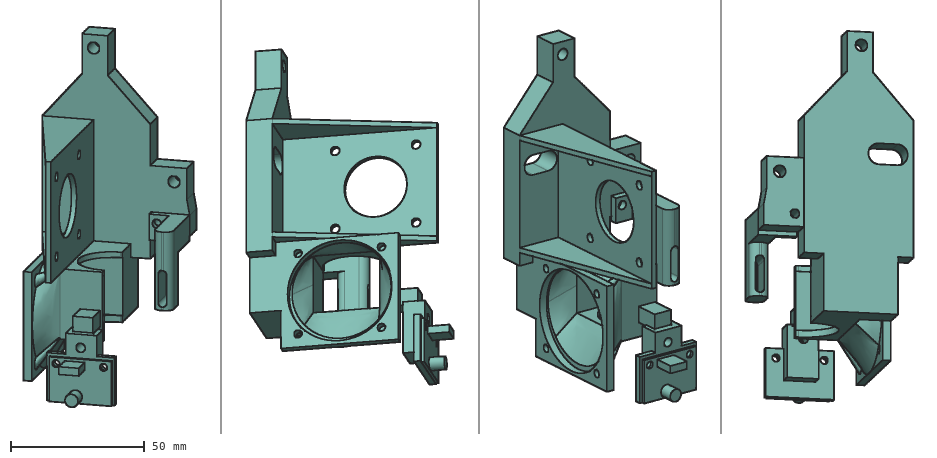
import cadquery as cq

PLATE_WIDTH = 42.0
PLATE_THICKNESS = 10.0
PLATE_BOTTOM = 42.3
TONGUE_TOP = 127.8
TONGUE_BOTTOM = 112.4
TONGUE_LEFT = 15.5
TONGUE_RIGHT = 25.5
SCREW_DIAMETER = 4.5
TONGUE_HOLE = (20.0, 122.6)
ADJUST_SLOT_CENTER = (9.8, 81.4)
ADJUST_SLOT_LENGTH = 15.0
ADJUST_SLOT_HEIGHT = 8.0

EAR_TOP = 78.6
EAR_BOTTOM = 52.2
EAR_RIGHT = 56.2
EAR_TAPER_TOP = 66.6
EAR_THICKNESS = 9.6
EAR_HOLE = (51.2, 73.0)

MOUNT_TOP = 94.7
MOUNT_BOTTOM = 47.6
MOUNT_RIGHT = 20.0
MOUNT_THICKNESS = 2.0
MOUNT_LEFT = MOUNT_RIGHT - MOUNT_THICKNESS
MOUNT_REACH = 59.0
MOTOR_AXIS_Y = -35.5
MOTOR_AXIS_Z = (MOUNT_TOP + MOUNT_BOTTOM) / 2
MOTOR_BORE = 24.0
MOTOR_SCREW_SPACING = 31.0
MOTOR_SCREW_DIAMETER = 3.4

FAN_PLATE_LEFT = 6.0
FAN_PLATE_THICKNESS = 3.2
FAN_PLATE_RIGHT = FAN_PLATE_LEFT + FAN_PLATE_THICKNESS
FAN_PLATE_FRONT = -47.0
FAN_PLATE_BACK = -2.0
FAN_PLATE_BOTTOM = 5.2
FAN_AXIS_Y = (FAN_PLATE_FRONT + FAN_PLATE_BACK) / 2
FAN_AXIS_Z = 26.5
FAN_BORE = 40.0
FAN_SCREW_SPACING = 32.0
FAN_SCREW_DIAMETER = 3.0
SCREW_BOSS_DIAMETER = 5.0
SCREW_BOSS_TIP_DIAMETER = 1.0
DUCT_WALL = 2.6
DUCT_ROOF = 2.2
NOZZLE_LEFT = MOUNT_LEFT
NOZZLE_RIGHT = 34.5
NOZZLE_FRONT = -39.7
NOZZLE_BACK = -9.0
NOZZLE_BOTTOM = 20.3
NOZZLE_TOP = MOUNT_BOTTOM
FUNNEL_OUTER_DIAMETER = 43.0
FUNNEL_INNER_DIAMETER = 38.0
FUNNEL_INNER_AXIS_Z = 27.6
HOTEND_RADIUS = 12.5
HOTEND_AXIS_X = 33.7

SUPPORT_LEFT = 26.0
SUPPORT_WIDTH = 7.7
SUPPORT_FRONT = -49.8
SUPPORT_TOP = 32.6
SUPPORT_BOTTOM = 26.2

HOOK_TOP = 60.6
HOOK_BOTTOM = 30.0
HOOK_LEFT = 42.4
HOOK_RIGHT = 57.27
TAB_THICKNESS = 3.1
TAB_BOTTOM = 50.5
PRONG_WIDTH = 7.2
PRONG_LEFT = HOOK_RIGHT - PRONG_WIDTH
PRONG_FRONT = -25.0
PRONG_DEPTH = 12.0
PRONG_CORNER_RADIUS = 3.2
PRONG_SLOT_WIDTH = 3.3
PRONG_SLOT_LENGTH = 14.2
PRONG_SLOT_CENTER_Z = 38.5
HOOK_SCREW_DIAMETER = 3.4
HOOK_HOLE = (45.4, 57.1)

STEM_LEFT = 24.1
STEM_WIDTH = 12.1
STEM_BACK = -44.6
STEM_TOP = 26.7
STEM_BOTTOM = 6.4
HOLDER_FRONT = -53.0
HOLDER_HOLE = (29.9, 21.5)
HOLDER_HOLE_DIAMETER = 3.5
RECESS_CLEARANCE = 0.4
BACKING_LEFT = 16.8
BACKING_RIGHT = 43.0
BACKING_TOP = 18.6
BACKING_THICKNESS = 2.5

BOARD_LEFT = 18.0
BOARD_RIGHT = 42.1
BOARD_TOP = 17.4
BOARD_THICKNESS = 1.2
BOARD_FRONT = HOLDER_FRONT - BOARD_THICKNESS
BOARD_HOLE_XS = (20.6, 39.1)
BOARD_HOLE_Z = 14.9
BOARD_HOLE_DIAMETER = 2.8
CONNECTOR_LEFT = 24.1
CONNECTOR_WIDTH = 7.7
CONNECTOR_BOTTOM = 13.3
CONNECTOR_HEIGHT = 3.0
CONNECTOR_FRONT = -62.4
LAMP_DIAMETER = 5.07
LAMP_CENTER = (28.3, 2.7)
LAMP_FRONT = -60.0


def block(x_range, y_range, z_range):
    """Box between two corners given as ranges along X, Y and Z."""
    sizes = [high - low for low, high in (x_range, y_range, z_range)]
    corner = (x_range[0], y_range[0], z_range[0])
    return cq.Workplane("XY").box(*sizes, centered=False).translate(corner)


def rod_y(center, diameter, front, back):
    """Cylinder along Y around an (X, Z) centre."""
    return cq.Workplane("XZ", origin=(0, back, 0)).center(*center).circle(diameter / 2).extrude(back - front)


def rod_x(center, diameter, left, right):
    """Cylinder along X around a (Y, Z) centre."""
    return cq.Workplane("YZ", origin=(left, 0, 0)).center(*center).circle(diameter / 2).extrude(right - left)


def square_pattern(center, spacing):
    """Corners of a square of the given side around a centre."""
    half = spacing / 2
    return [(center[0] + i * half, center[1] + j * half) for i in (-1, 1) for j in (-1, 1)]


def make_back_plate():
    plate = (
        cq.Workplane("XZ", origin=(0, PLATE_THICKNESS, 0))
        .polyline([
            (0, PLATE_BOTTOM),
            (PLATE_WIDTH, PLATE_BOTTOM),
            (PLATE_WIDTH, MOUNT_TOP),
            (TONGUE_RIGHT, TONGUE_BOTTOM),
            (TONGUE_RIGHT, TONGUE_TOP),
            (TONGUE_LEFT, TONGUE_TOP),
            (TONGUE_LEFT, TONGUE_BOTTOM),
            (0, MOUNT_TOP),
        ])
        .close()
        .extrude(PLATE_THICKNESS)
    )
    ear = (
        cq.Workplane("XZ", origin=(0, EAR_THICKNESS, 0))
        .polyline([
            (PLATE_WIDTH, EAR_BOTTOM),
            (HOOK_RIGHT, EAR_BOTTOM),
            (HOOK_RIGHT, HOOK_TOP),
            (EAR_RIGHT, EAR_TAPER_TOP),
            (EAR_RIGHT, EAR_TOP),
            (PLATE_WIDTH, EAR_TOP),
        ])
        .close()
        .extrude(EAR_THICKNESS)
    )
    slot = (
        cq.Workplane("XZ", origin=(0, PLATE_THICKNESS, 0))
        .center(*ADJUST_SLOT_CENTER)
        .slot2D(ADJUST_SLOT_LENGTH, ADJUST_SLOT_HEIGHT)
        .extrude(PLATE_THICKNESS)
    )
    plate = plate.union(ear).cut(slot)
    for center, diameter in (
        (TONGUE_HOLE, SCREW_DIAMETER),
        (EAR_HOLE, SCREW_DIAMETER),
        (HOOK_HOLE, HOOK_SCREW_DIAMETER),
    ):
        plate = plate.cut(rod_y(center, diameter, 0, PLATE_THICKNESS))
    return plate


def make_motor_mount():
    mount = block((MOUNT_LEFT, MOUNT_RIGHT), (-MOUNT_REACH, 0), (MOUNT_BOTTOM, MOUNT_TOP))
    for bottom in (MOUNT_BOTTOM, MOUNT_TOP - MOUNT_THICKNESS):
        gusset = (
            cq.Workplane("XY", origin=(0, 0, bottom))
            .polyline([(0, 0), (MOUNT_LEFT, -MOUNT_REACH), (MOUNT_LEFT, 0)])
            .close()
            .extrude(MOUNT_THICKNESS)
        )
        mount = mount.union(gusset)
    axis = (MOTOR_AXIS_Y, MOTOR_AXIS_Z)
    mount = mount.cut(rod_x(axis, MOTOR_BORE, MOUNT_LEFT, MOUNT_RIGHT))
    for center in square_pattern(axis, MOTOR_SCREW_SPACING):
        mount = mount.cut(rod_x(center, MOTOR_SCREW_DIAMETER, MOUNT_LEFT, MOUNT_RIGHT))
    return mount


def make_funnel(diameter, axis_z, front, back, bottom, top):
    """Loft along X from a circle at the fan plate to a rectangle at the nozzle."""
    middle_y = (front + back) / 2
    middle_z = (bottom + top) / 2
    return (
        cq.Workplane("YZ", origin=(FAN_PLATE_RIGHT, 0, 0))
        .center(FAN_AXIS_Y, axis_z)
        .circle(diameter / 2)
        .workplane(offset=NOZZLE_LEFT - FAN_PLATE_RIGHT)
        .center(middle_y - FAN_AXIS_Y, middle_z - axis_z)
        .rect(back - front, top - bottom)
        .loft(combine=True)
    )


def is_open_hole(center):
    """Only the lower fan screw hole next to the back plate has no boss behind it."""
    return center[0] > FAN_AXIS_Y and center[1] < FAN_AXIS_Z


def make_screw_boss(center):
    """Boss that closes a fan screw hole from behind, tapering into the nearest corner of the nozzle."""
    tip_radius = SCREW_BOSS_TIP_DIAMETER / 2
    tip_y = NOZZLE_BACK - tip_radius if center[0] > FAN_AXIS_Y else NOZZLE_FRONT + tip_radius
    tip_z = NOZZLE_TOP - tip_radius if center[1] > FAN_AXIS_Z else NOZZLE_BOTTOM + tip_radius
    return (
        cq.Workplane("YZ", origin=(FAN_PLATE_RIGHT, 0, 0))
        .center(*center)
        .circle(SCREW_BOSS_DIAMETER / 2)
        .workplane(offset=NOZZLE_LEFT - FAN_PLATE_RIGHT)
        .center(tip_y - center[0], tip_z - center[1])
        .circle(tip_radius)
        .loft(combine=True)
    )


def make_duct():
    fan_plate = block(
        (FAN_PLATE_LEFT, FAN_PLATE_RIGHT),
        (FAN_PLATE_FRONT, FAN_PLATE_BACK),
        (FAN_PLATE_BOTTOM, MOUNT_BOTTOM),
    )
    foot = block(
        (FAN_PLATE_LEFT, NOZZLE_RIGHT),
        (FAN_PLATE_BACK, PLATE_THICKNESS),
        (NOZZLE_BOTTOM, PLATE_BOTTOM),
    )
    fan_plate_root = block(
        (FAN_PLATE_LEFT, FAN_PLATE_RIGHT),
        (FAN_PLATE_BACK, 0),
        (PLATE_BOTTOM, MOUNT_BOTTOM),
    )
    nozzle = block((NOZZLE_LEFT, NOZZLE_RIGHT), (NOZZLE_FRONT, 0), (NOZZLE_BOTTOM, NOZZLE_TOP))
    funnel = make_funnel(
        FUNNEL_OUTER_DIAMETER, FAN_AXIS_Z, NOZZLE_FRONT, NOZZLE_BACK, NOZZLE_BOTTOM, NOZZLE_TOP
    )
    support = block(
        (SUPPORT_LEFT, SUPPORT_LEFT + SUPPORT_WIDTH),
        (SUPPORT_FRONT, NOZZLE_FRONT),
        (SUPPORT_BOTTOM, SUPPORT_TOP),
    )
    duct = fan_plate.union(fan_plate_root).union(foot).union(nozzle).union(funnel).union(support)
    axis = (FAN_AXIS_Y, FAN_AXIS_Z)
    screw_centers = square_pattern(axis, FAN_SCREW_SPACING)
    for center in screw_centers:
        if not is_open_hole(center):
            duct = duct.union(make_screw_boss(center))

    inner_y = (NOZZLE_FRONT + DUCT_WALL, NOZZLE_BACK - DUCT_WALL)
    inner_z = (NOZZLE_BOTTOM + DUCT_WALL, NOZZLE_TOP - DUCT_ROOF)
    passage = block((NOZZLE_LEFT, NOZZLE_RIGHT), inner_y, inner_z)
    inner_funnel = make_funnel(FUNNEL_INNER_DIAMETER, FUNNEL_INNER_AXIS_Z, *inner_y, *inner_z)
    duct = duct.cut(passage).cut(inner_funnel)
    duct = duct.cut(rod_x(axis, FAN_BORE, FAN_PLATE_LEFT, FAN_PLATE_RIGHT))
    for center in screw_centers:
        duct = duct.cut(rod_x(center, FAN_SCREW_DIAMETER, FAN_PLATE_LEFT, FAN_PLATE_RIGHT))

    hotend_y = (FAN_AXIS_Y - HOTEND_RADIUS, FAN_AXIS_Y + HOTEND_RADIUS)
    hotend = (
        cq.Workplane("XY", origin=(0, 0, NOZZLE_BOTTOM))
        .center(HOTEND_AXIS_X, FAN_AXIS_Y)
        .circle(HOTEND_RADIUS)
        .extrude(NOZZLE_TOP - NOZZLE_BOTTOM)
    )
    mouth = block((HOTEND_AXIS_X, NOZZLE_RIGHT), hotend_y, (NOZZLE_BOTTOM, NOZZLE_TOP))
    return duct.cut(hotend).cut(mouth)


def make_bracket():
    return make_back_plate().union(make_motor_mount()).union(make_duct())


def make_hook():
    tab = block((HOOK_LEFT, HOOK_RIGHT), (-TAB_THICKNESS, 0), (TAB_BOTTOM, HOOK_TOP))
    prong_middle_y = PRONG_FRONT + PRONG_DEPTH / 2
    prong = (
        block((PRONG_LEFT, HOOK_RIGHT), (PRONG_FRONT, PRONG_FRONT + PRONG_DEPTH), (HOOK_BOTTOM, HOOK_TOP))
        .edges("|Z")
        .fillet(PRONG_CORNER_RADIUS)
    )
    arm = block((PRONG_LEFT, HOOK_RIGHT), (prong_middle_y, 0), (TAB_BOTTOM, HOOK_TOP))
    slot = (
        cq.Workplane("XZ", origin=(0, PRONG_FRONT + PRONG_DEPTH, 0))
        .center(PRONG_LEFT + PRONG_WIDTH / 2, PRONG_SLOT_CENTER_Z)
        .slot2D(PRONG_SLOT_LENGTH, PRONG_SLOT_WIDTH, 90)
        .extrude(PRONG_DEPTH)
    )
    hole = rod_y(HOOK_HOLE, HOOK_SCREW_DIAMETER, -TAB_THICKNESS, 0)
    return tab.union(prong).union(arm).cut(slot).cut(hole)


def cut_board_holes(body):
    """Two screw holes shared by the circuit board and the plate behind it."""
    for x in BOARD_HOLE_XS:
        hole = rod_y((x, BOARD_HOLE_Z), BOARD_HOLE_DIAMETER, BOARD_FRONT, HOLDER_FRONT + BACKING_THICKNESS)
        body = body.cut(hole)
    return body


def make_holder():
    stem = block((STEM_LEFT, STEM_LEFT + STEM_WIDTH), (HOLDER_FRONT, STEM_BACK), (STEM_BOTTOM, STEM_TOP))
    backing = block(
        (BACKING_LEFT, BACKING_RIGHT),
        (HOLDER_FRONT, HOLDER_FRONT + BACKING_THICKNESS),
        (0, BACKING_TOP),
    )
    recess = block(
        (SUPPORT_LEFT, SUPPORT_LEFT + SUPPORT_WIDTH + RECESS_CLEARANCE),
        (SUPPORT_FRONT, STEM_BACK),
        (SUPPORT_BOTTOM, STEM_TOP),
    )
    hole = rod_y(HOLDER_HOLE, HOLDER_HOLE_DIAMETER, HOLDER_FRONT, STEM_BACK)
    return cut_board_holes(stem.union(backing).cut(recess).cut(hole))


def make_sensor():
    board = block((BOARD_LEFT, BOARD_RIGHT), (BOARD_FRONT, HOLDER_FRONT), (0, BOARD_TOP))
    connector = block(
        (CONNECTOR_LEFT, CONNECTOR_LEFT + CONNECTOR_WIDTH),
        (CONNECTOR_FRONT, BOARD_FRONT),
        (CONNECTOR_BOTTOM, CONNECTOR_BOTTOM + CONNECTOR_HEIGHT),
    )
    lamp = rod_y(LAMP_CENTER, LAMP_DIAMETER, LAMP_FRONT, BOARD_FRONT)
    return cut_board_holes(board).union(connector).union(lamp)


bracket = make_bracket()
hook = make_hook()
holder = make_holder()
sensor = make_sensor()

result = cq.Compound.makeCompound([body.solids().val() for body in (bracket, hook, holder, sensor)])